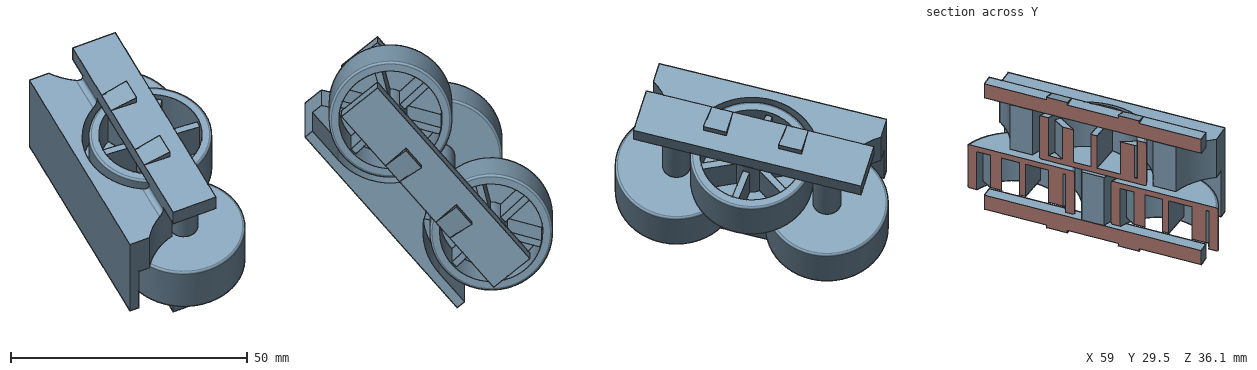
import cadquery as cq
import math

wheel_radius = 13
wheel_spacing = 16.5
wheel_outer_z = 11.85
wheel_width = 11.4
rim_fillet = 0.5
pocket_radius = 10.9
pocket_depth = 9.9
spoke_count = 6
spoke_width = 1.5
spoke_recess = 1.5
first_spoke_angle = 26

axle_radius = 3.0
hub_radius = 3.5

frame_length = 50.0
plate_inner_z = 12.7
plate_thickness = 3.8
plate_outer_z = plate_inner_z + plate_thickness
plate_back_y = 3.55
plate_front_y = -6.45

latch_x = 8.25
latch_back_y = -0.55
latch_height = 1.55
latch_back_width = 5.1
latch_front_width = 4.65

body_front_y = -16.5
post_back_y = -3.9
body_half_height = 11.0
post_fillet = 1.2
clearance_radius = 14.45
upper_clearance_floor_z = -0.1
lower_clearance_roof_z = 1.0


def cylinder(x, radius, z_low, z_high):
    return cq.Workplane("XY", origin=(x, 0, z_low)).circle(radius).extrude(z_high - z_low)


def box(x_range, y_range, z_range):
    lengths = [high - low for low, high in (x_range, y_range, z_range)]
    corner = (x_range[0], y_range[0], z_range[0])
    return cq.Workplane("XY").box(*lengths, centered=False).translate(corner)


def mirrored_down(shape):
    return shape.mirror("XY")


def make_wheel_set():
    """Upward-opening spoked wheel at X = 0 with its spacer and its plate-to-plate axle."""
    wheel_inner_z = wheel_outer_z - wheel_width
    floor_z = wheel_outer_z - pocket_depth
    spoke_height = pocket_depth - spoke_recess
    wheel = cylinder(0, wheel_radius, wheel_inner_z, wheel_outer_z).edges().fillet(rim_fillet)
    wheel = wheel.cut(cylinder(0, pocket_radius, floor_z, wheel_outer_z))
    spoke_reach = (pocket_radius + wheel_radius) / 2
    for i in range(spoke_count):
        spoke = cq.Workplane("XY").box(
            spoke_reach, spoke_width, spoke_height, centered=(False, True, False)
        )
        angle = first_spoke_angle + i * 360 / spoke_count
        wheel = wheel.union(spoke.rotate((0, 0, 0), (0, 0, 1), angle).translate((0, 0, floor_z)))
    hub = cylinder(0, hub_radius, wheel_inner_z, plate_inner_z)
    axle = cylinder(0, axle_radius, -plate_inner_z, plate_inner_z)
    return wheel.union(hub).union(axle)


def make_latch(x):
    """Ramp on the upper plate, rising toward the back and narrowing toward the front edge."""
    plan = (
        cq.Workplane("XY", origin=(x, 0, plate_outer_z))
        .polyline([
            (-latch_back_width / 2, latch_back_y),
            (latch_back_width / 2, latch_back_y),
            (latch_front_width / 2, plate_front_y),
            (-latch_front_width / 2, plate_front_y),
        ])
        .close()
        .extrude(latch_height)
    )
    ramp = (
        cq.Workplane("YZ", origin=(x, 0, plate_outer_z))
        .polyline([(plate_front_y, 0), (latch_back_y, 0), (latch_back_y, latch_height)])
        .close()
        .extrude(latch_back_width / 2, both=True)
    )
    return plan.intersect(ramp)


def make_plate():
    half_length = frame_length / 2
    plate = box(
        (-half_length, half_length),
        (plate_front_y, plate_back_y),
        (plate_inner_z, plate_outer_z),
    )
    for x in (-latch_x, latch_x):
        plate = plate.union(make_latch(x))
    return plate


def make_body():
    fillet_end_y = plate_front_y - post_fillet
    fillet_top_z = body_half_height + post_fillet
    mid_offset = post_fillet * (1 - math.sqrt(0.5))
    fillet_mid_y = plate_front_y - mid_offset
    fillet_mid_z = body_half_height + mid_offset
    body = (
        cq.Workplane("YZ")
        .moveTo(body_front_y, -body_half_height)
        .lineTo(fillet_end_y, -body_half_height)
        .threePointArc((fillet_mid_y, -fillet_mid_z), (plate_front_y, -fillet_top_z))
        .lineTo(plate_front_y, -plate_inner_z)
        .lineTo(post_back_y, -plate_inner_z)
        .lineTo(post_back_y, plate_inner_z)
        .lineTo(plate_front_y, plate_inner_z)
        .lineTo(plate_front_y, fillet_top_z)
        .threePointArc((fillet_mid_y, fillet_mid_z), (fillet_end_y, body_half_height))
        .lineTo(body_front_y, body_half_height)
        .close()
        .extrude(frame_length / 2, both=True)
    )
    for x in (-2 * wheel_spacing, 0, 2 * wheel_spacing):
        body = body.cut(cylinder(x, clearance_radius, upper_clearance_floor_z, plate_inner_z))
    for side in (-1, 1):
        wheel_x = side * wheel_spacing
        end_x = side * frame_length / 2
        body = body.cut(cylinder(wheel_x, clearance_radius, -plate_inner_z, lower_clearance_roof_z))
        body = body.cut(box(
            (min(wheel_x, end_x), max(wheel_x, end_x)),
            (-clearance_radius, 0),
            (-plate_inner_z, lower_clearance_roof_z),
        ))
    return body


plate = make_plate()
wheel_set = make_wheel_set()

result = make_body().union(plate).union(mirrored_down(plate)).union(wheel_set)
for wheel_x in (-wheel_spacing, wheel_spacing):
    result = result.union(mirrored_down(wheel_set).translate((wheel_x, 0, 0)))